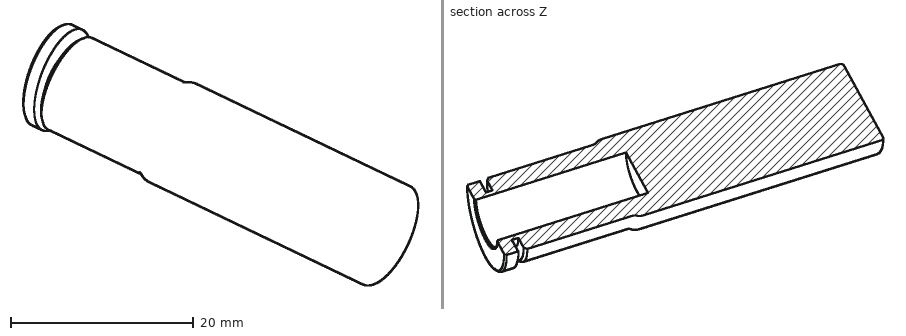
import cadquery as cq

total_length = 44.95
body_diameter = 12.0
sleeve_diameter = 11.2
neck_diameter = 7.5

flange_height = 13.0
flange_width = 11.05
flange_thickness = 1.6
flange_edge_chamfer = 0.22

sleeve_start = 2.35
step_start = 15.05
step_middle = 15.6
step_end = 16.25

sleeve_chamfer = 0.3
end_fillet = 0.4

bore_diameter = 6.25
bore_mouth_chamfer = 0.2
bore_depth = 18.0

body_radius = body_diameter / 2
sleeve_radius = sleeve_diameter / 2
neck_radius = neck_diameter / 2
bore_radius = bore_diameter / 2


def make_body():
    """Neck, sleeve and main body, revolved about the X axis."""
    step_rise = body_radius - sleeve_radius
    rise_fraction = (step_middle - step_start) / (step_end - step_start)
    middle_radius = sleeve_radius + step_rise * rise_fraction
    profile = (
        cq.Workplane("XY")
        .moveTo(0, 0)
        .lineTo(0, neck_radius)
        .lineTo(sleeve_start, neck_radius)
        .lineTo(sleeve_start, sleeve_radius - sleeve_chamfer)
        .lineTo(sleeve_start + sleeve_chamfer, sleeve_radius)
        .lineTo(step_start, sleeve_radius)
        .tangentArcPoint((step_middle, middle_radius), relative=False)
        .tangentArcPoint((step_end, body_radius), relative=False)
        .lineTo(total_length - end_fillet, body_radius)
        .radiusArc((total_length, body_radius - end_fillet), end_fillet)
        .lineTo(total_length, 0)
        .close()
    )
    return profile.revolve(360, (0, 0, 0), (1, 0, 0))


def make_flange():
    """Oval flange with its front rim chamfered."""
    oval = cq.Workplane("YZ").ellipse(flange_width / 2, flange_height / 2)
    return oval.extrude(flange_thickness).faces("<X").edges().chamfer(flange_edge_chamfer)


def make_bore():
    """Blind round socket with a chamfered mouth."""
    profile = (
        cq.Workplane("XY")
        .moveTo(0, 0)
        .lineTo(0, bore_radius + bore_mouth_chamfer)
        .lineTo(bore_mouth_chamfer, bore_radius)
        .lineTo(bore_depth, bore_radius)
        .lineTo(bore_depth, 0)
        .close()
    )
    return profile.revolve(360, (0, 0, 0), (1, 0, 0))


result = make_body().union(make_flange()).cut(make_bore())